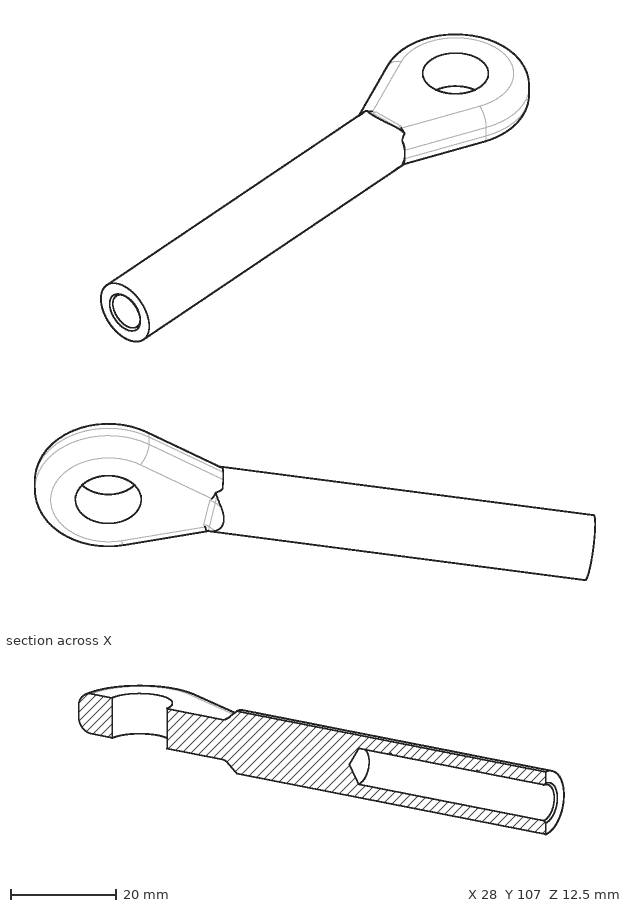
import cadquery as cq
import math

total_length = 107.0
eye_radius = 14.0
eye_hole_diameter = 12.5
plate_thickness = 8.0
plate_edge_radius = 3.0
shank_diameter = 12.5
shoulder_y = 71.9

runout_flat_width = 6.4
runout_start_y = 73.4
runout_angle = 40.0
runout_fillet_radius = 1.7

bore_diameter = 7.1
bore_depth = 42.8
bore_mouth_chamfer = 0.4
drill_point_angle = 118.0

shank_radius = shank_diameter / 2
half_thickness = plate_thickness / 2
eye_y = total_length - eye_radius


def make_eye_plate():
    """Flat teardrop: a round eye with two tangent sides that narrow to the shank width."""
    drop = eye_y - shoulder_y
    corner_distance = math.hypot(shank_radius, drop)
    corner_angle = math.atan2(-drop, shank_radius)
    tangent_angle = corner_angle + math.acos(eye_radius / corner_distance)
    tangent_x = eye_radius * math.cos(tangent_angle)
    tangent_y = eye_y + eye_radius * math.sin(tangent_angle)
    plate = (
        cq.Workplane("XY", origin=(0, 0, -half_thickness))
        .moveTo(-shank_radius, shoulder_y)
        .lineTo(shank_radius, shoulder_y)
        .lineTo(tangent_x, tangent_y)
        .threePointArc((0, total_length), (-tangent_x, tangent_y))
        .close()
        .extrude(plate_thickness)
    )
    shoulder_edges = cq.selectors.StringSyntaxSelector("<Y")
    rim_edges = cq.selectors.SubtractSelector(cq.selectors.StringSyntaxSelector("#Z"), shoulder_edges)
    return plate.edges(rim_edges).fillet(plate_edge_radius)


def runout_profile(plane, start_radius):
    """Run-out outline in Y and distance from the Y axis of the plane, starting at start_radius.

    It leaves the plate through a concave fillet and then climbs as a straight slope.
    """
    slope = math.radians(runout_angle)
    fillet_start_y = runout_start_y + runout_fillet_radius * math.tan(slope / 2)
    fillet_centre = start_radius + runout_fillet_radius

    def fillet_point(angle):
        return (
            fillet_start_y - runout_fillet_radius * math.sin(angle),
            fillet_centre - runout_fillet_radius * math.cos(angle),
        )

    slope_length_y = shank_radius / math.tan(slope)
    slope_top = start_radius + shank_radius
    return (
        plane.moveTo(0, 0)
        .lineTo(fillet_start_y, 0)
        .lineTo(fillet_start_y, start_radius)
        .threePointArc(fillet_point(slope / 2), fillet_point(slope))
        .lineTo(runout_start_y - slope_length_y, slope_top)
        .lineTo(0, slope_top)
        .close()
    )


def make_runout_envelope():
    """Rounded-rectangle envelope that widens away from the eye on all four sides."""
    half_flat = runout_flat_width / 2
    corner_z = half_thickness - plate_edge_radius

    flat_plane = cq.Workplane("YZ", origin=(-half_flat, 0, 0))
    top = runout_profile(flat_plane, half_thickness).extrude(runout_flat_width)
    side_plane = cq.Workplane(cq.Plane((half_flat, 0, corner_z), (0, 1, 0), (0, 0, -1)))
    side = runout_profile(side_plane, plate_edge_radius).extrude(2 * corner_z)
    envelope = top.union(top.mirror("XY")).union(side).union(side.mirror("YZ"))

    for x in (-half_flat, half_flat):
        for z in (-corner_z, corner_z):
            corner_plane = cq.Workplane("YZ", origin=(x, 0, z))
            corner = runout_profile(corner_plane, plate_edge_radius).revolve(360, (0, 0), (1, 0))
            envelope = envelope.union(corner)
    return envelope


def make_shank():
    """Round shank whose eye end is trimmed by the run-out."""
    rod = cq.Workplane("XZ").circle(shank_radius).extrude(-eye_y)
    return rod.intersect(make_runout_envelope())


def make_bore():
    """Drilled blind hole with a chamfered mouth and a conical bottom."""
    bore_radius = bore_diameter / 2
    point_length = bore_radius / math.tan(math.radians(drill_point_angle / 2))
    return (
        cq.Workplane("XY")
        .polyline([
            (0, 0),
            (bore_radius + bore_mouth_chamfer, 0),
            (bore_radius, bore_mouth_chamfer),
            (bore_radius, bore_depth),
            (0, bore_depth + point_length),
        ])
        .close()
        .revolve(360, (0, 0), (0, 1))
    )


def make_eye_hole():
    """Through hole across the eye."""
    return (
        cq.Workplane("XY", origin=(0, eye_y, -half_thickness))
        .circle(eye_hole_diameter / 2)
        .extrude(plate_thickness)
    )


result = make_shank().union(make_eye_plate()).cut(make_bore()).cut(make_eye_hole())